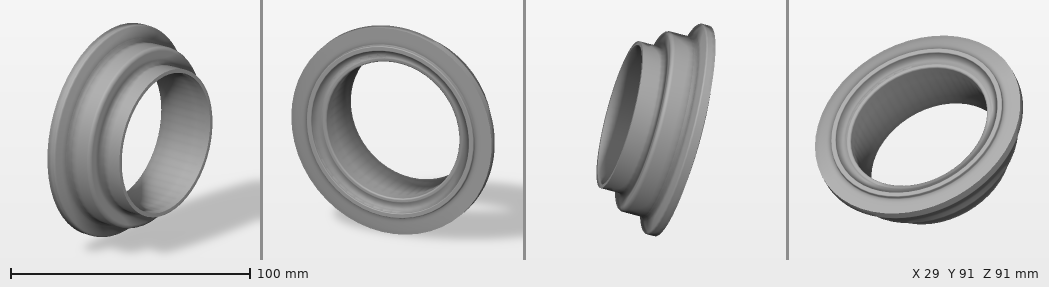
import cadquery as cq
import math


length = 29.0
flange_front = 1.6
flange_corner = 5.5
body_end = 19.0

flange_radius = 91 / 2
lip_radius = 75.8 / 2
body_radius = 78.0 / 2
neck_radius = 63.5 / 2
bore_radius = 60.2 / 2

cone_angle = math.radians(20)
cone_end = flange_corner + (flange_radius - body_radius) * math.tan(cone_angle)

groove_outer_radius = 35.8
groove_inner_radius = 31.8
rim_depth = 2.8
groove_arc_radius = 2.5

step_fillet = 1.6
cone_root_fillet = 1.8
flange_corner_fillet = 0.9
rim_fillet = 0.7
lip_root_fillet = 0.5
lip_fillet = 0.4

arc_center_radius = groove_outer_radius - groove_arc_radius
arc_center_x = rim_depth - math.sqrt(groove_arc_radius**2 - (arc_center_radius - groove_inner_radius) ** 2)
groove_bottom = (arc_center_x + groove_arc_radius, arc_center_radius)


def turned_ring():
    """Revolve the sharp-cornered half section, drawn as (X, radius)."""
    section = (
        cq.Workplane("XY")
        .moveTo(0, groove_outer_radius)
        .lineTo(0, lip_radius)
        .lineTo(flange_front, lip_radius)
        .lineTo(flange_front, flange_radius)
        .lineTo(flange_corner, flange_radius)
        .lineTo(cone_end, body_radius)
        .lineTo(body_end, body_radius)
        .lineTo(body_end, neck_radius)
        .lineTo(length, neck_radius)
        .lineTo(length, bore_radius)
        .lineTo(rim_depth, bore_radius)
        .lineTo(rim_depth, groove_inner_radius)
        .threePointArc(groove_bottom, (arc_center_x, groove_outer_radius))
        .close()
    )
    return section.revolve(360, (0, 0, 0), (1, 0, 0))


def fillet_circle(ring, x, radius, size):
    """Round the circular edge at station x with the given radius."""
    tolerance = 0.01
    edges = [
        edge
        for edge in ring.edges("%CIRCLE").vals()
        if abs(edge.Center().x - x) < tolerance and abs(edge.radius() - radius) < tolerance
    ]
    return ring.newObject(edges).fillet(size)


rounded_edges = [
    (0, lip_radius, lip_fillet),
    (0, groove_outer_radius, lip_fillet),
    (flange_front, lip_radius, lip_root_fillet),
    (flange_corner, flange_radius, flange_corner_fillet),
    (cone_end, body_radius, cone_root_fillet),
    (body_end, body_radius, step_fillet),
    (body_end, neck_radius, step_fillet),
    (rim_depth, groove_inner_radius, rim_fillet),
    (rim_depth, bore_radius, rim_fillet),
]

result = turned_ring()
for station, edge_radius, fillet_size in rounded_edges:
    result = fillet_circle(result, station, edge_radius, fillet_size)